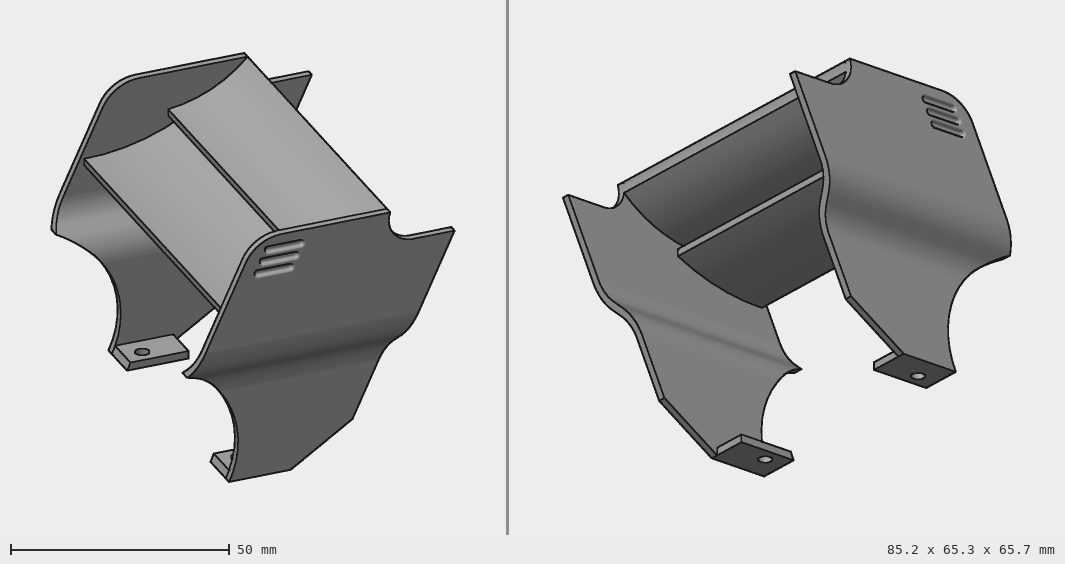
import cadquery as cq
import math

width = 85.2
depth = 65.3
height = 65.7

wall = 2.0
outer_bend_radius = 10.0
inner_bend_radius = outer_bend_radius - wall
bend_angle = math.radians(45)
jog = 7.4
jog_top_z = 34.6

edge_lean = math.radians(25)
rear_tip_z = 57.7
rear_corner_z = 10.0
bottom_rear_y = 27.6
front_tip_z = 31.6
top_corner_radius = 10.0
arch_radius = 23.4
arch_center_y = -8.9
arch_center_z = 10.05
notch_radius = 6.0
notch_center_y = 54.9

foot_length = 8.95
foot_hole_diameter = 3.3
foot_hole_from_tip = 3.75
foot_hole_from_front = 5.4

blade_thickness = 1.6
rear_blade_front = (29.5, 56.15)
rear_blade_radius = 31.5
front_blade_front = (8.6, 47.6)
front_blade_rear = (33.15, 53.6)
front_blade_radius = 51.1

groove_count = 3
groove_pitch = 2.8
groove_straight = 8.0
groove_floor_half_width = 0.25
groove_depth = wall / 2
groove_flank_radius = groove_depth / 2
top_groove_y = 23.0
top_groove_z = 62.2

plate_x = -width / 2
leg_inner_x = plate_x + jog + wall
notch_center_z = rear_tip_z + notch_radius
notch_top_y = notch_center_y - math.sqrt(notch_radius**2 - (height - notch_center_z) ** 2)
bottom_front_y = arch_center_y + math.sqrt(arch_radius**2 - arch_center_z**2)


def rod_along_x(y, z, radius):
    """Cylinder across the whole width, used as a cutter."""
    return cq.Workplane("YZ").center(y, z).circle(radius).extrude(width / 2, both=True)


def bent_wall():
    """Left wall with its jog, as a straight extrusion over the whole depth."""
    jog_bottom_z = jog_top_z - jog / math.tan(bend_angle)
    inner_rise = wall * math.tan(bend_angle / 2)
    upper_outer = (plate_x, jog_top_z)
    lower_outer = (plate_x + jog, jog_bottom_z)
    upper_inner = (plate_x + wall, jog_top_z + inner_rise)
    lower_inner = (leg_inner_x, jog_bottom_z + inner_rise)
    section = [
        (plate_x, height),
        upper_outer,
        lower_outer,
        (plate_x + jog, 0),
        (leg_inner_x, 0),
        lower_inner,
        upper_inner,
        (plate_x + wall, height),
    ]
    body = cq.Workplane("XZ").polyline(section).close().extrude(-depth)
    bends = [
        (upper_outer, outer_bend_radius),
        (lower_inner, outer_bend_radius),
        (upper_inner, inner_bend_radius),
        (lower_outer, inner_bend_radius),
    ]
    for (x, z), radius in bends:
        corner = cq.selectors.NearestToPointSelector((x, depth / 2, z))
        body = body.edges(corner).fillet(radius)
    return body


def plate_outline():
    """Solid with the side outline of a plate, spanning the left half of the width."""
    rear_corner_y = depth - (rear_tip_z - rear_corner_z) * math.tan(edge_lean)
    top_front_y = (height - front_tip_z) * math.tan(edge_lean)
    arch_middle = (arch_center_y + arch_radius, arch_center_z)
    notch_diagonal = notch_radius * math.sqrt(0.5)
    notch_middle = (notch_center_y - notch_diagonal, notch_center_z - notch_diagonal)
    outline = (
        cq.Workplane("YZ", origin=(plate_x, 0, 0))
        .moveTo(depth, rear_tip_z)
        .lineTo(rear_corner_y, rear_corner_z)
        .lineTo(bottom_rear_y, 0)
        .lineTo(bottom_front_y, 0)
        .threePointArc(arch_middle, (0, front_tip_z))
        .lineTo(top_front_y, height)
        .lineTo(notch_top_y, height)
        .threePointArc(notch_middle, (notch_center_y, rear_tip_z))
        .close()
        .extrude(width / 2)
    )
    top_front = cq.selectors.NearestToPointSelector((plate_x + width / 4, top_front_y, height))
    return outline.edges(top_front).fillet(top_corner_radius)


def foot():
    """Flat tab that points inward from the bottom of the leg, with a screw hole."""
    tip_x = leg_inner_x + foot_length
    foot_width = bottom_rear_y - bottom_front_y
    tab = cq.Workplane("XY").box(foot_length, foot_width, wall, centered=False)
    tab = tab.translate((leg_inner_x, bottom_front_y, 0))
    hole = (
        cq.Workplane("XY")
        .center(tip_x - foot_hole_from_tip, bottom_front_y + foot_hole_from_front)
        .circle(foot_hole_diameter / 2)
        .extrude(wall)
    )
    return tab.cut(hole).cut(rod_along_x(arch_center_y, arch_center_z, arch_radius))


def groove_half_section():
    """Half of a groove's cross section in XZ, with X as the depth and Z from its centerline."""
    rim_half_width = groove_floor_half_width + 2 * groove_flank_radius
    flank_middle = (groove_flank_radius, groove_floor_half_width + groove_flank_radius)
    return (
        cq.Workplane("XZ")
        .lineTo(0, rim_half_width)
        .radiusArc(flank_middle, -groove_flank_radius)
        .radiusArc((groove_depth, groove_floor_half_width), groove_flank_radius)
        .lineTo(groove_depth, 0)
        .close()
    )


def groove(y, z):
    """Cutter for one groove: a straight run with two round ends on the outer face."""
    half_run = groove_half_section().extrude(-groove_straight)
    round_end = groove_half_section().revolve(360, (0, 0, 0), (1, 0, 0))
    cutter = (
        half_run.union(half_run.mirror("XY"))
        .union(round_end)
        .union(round_end.translate((0, groove_straight, 0)))
    )
    return cutter.translate((plate_x, y - groove_straight / 2, z))


def side_plate():
    """Left plate with its foot and its stepped row of grooves."""
    plate = bent_wall().intersect(plate_outline()).union(foot())
    for i in range(groove_count):
        drop = i * groove_pitch
        plate = plate.cut(groove(top_groove_y - drop * math.tan(edge_lean), top_groove_z - drop))
    return plate


def blade(front, rear, radius):
    """Wing blade whose concave top runs from front to rear; both ends are vertical."""
    chord_y = rear[0] - front[0]
    chord_z = rear[1] - front[1]
    chord = math.hypot(chord_y, chord_z)
    center_distance = math.sqrt(radius**2 - (chord / 2) ** 2)
    center_y = (front[0] + rear[0]) / 2 - center_distance * chord_z / chord
    center_z = (front[1] + rear[1]) / 2 + center_distance * chord_y / chord

    def arc_point(y, arc_radius):
        return (y, center_z - math.sqrt(arc_radius**2 - (y - center_y) ** 2))

    middle_y = (front[0] + rear[0]) / 2
    under_radius = radius + blade_thickness
    half_span = width / 2 - wall / 2
    return (
        cq.Workplane("YZ")
        .moveTo(*front)
        .threePointArc(arc_point(middle_y, radius), rear)
        .lineTo(*arc_point(rear[0], under_radius))
        .threePointArc(arc_point(middle_y, under_radius), arc_point(front[0], under_radius))
        .close()
        .extrude(half_span, both=True)
    )


left_plate = side_plate()
right_plate = left_plate.mirror("YZ")
rear_blade = blade(rear_blade_front, (notch_top_y, height), rear_blade_radius)
rear_blade = rear_blade.cut(rod_along_x(notch_center_y, notch_center_z, notch_radius))
front_blade = blade(front_blade_front, front_blade_rear, front_blade_radius)
result = left_plate.union(right_plate).union(rear_blade).union(front_blade)